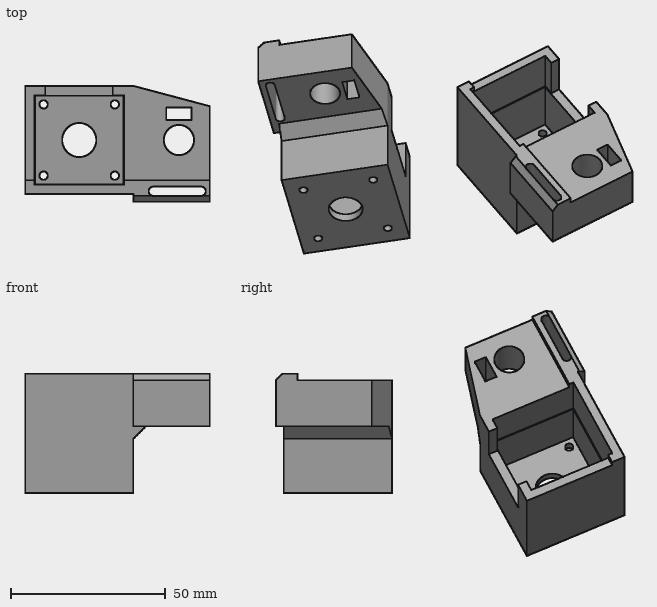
import cadquery as cq

block_side = 35.0
length = 59.7
height = 38.5
arm_height = 17.0
arm_bottom = height - arm_height
arm_end_depth = 28.4
gusset_leg = 4.0

rail_width = 4.5
rail_height = 2.0
deck_height = height - rail_height

pad_depth = 2.5
pad_chamfer = 2.0

upper_pocket_side = 28.95
lower_pocket_side = 28.5
ledge_height = arm_bottom
floor_thickness = 3.0
back_opening_width = 21.8

center_hole_diameter = 10.9
screw_hole_diameter = 2.6
screw_spacing = 23.0

arm_hole_diameter = 9.7
arm_hole_x = 49.7
window_length = 8.05
window_width = 4.0
window_y = 25.95
slot_length = 18.4
slot_width = 2.9
slot_x = 49.15
slot_y = 0.95

block_center = block_side / 2


def box(x, y, z, dx, dy, dz):
    """Box with its lowest corner at (x, y, z)."""
    return cq.Workplane("XY").box(dx, dy, dz, centered=False).translate((x, y, z))


def drill(points, diameter):
    """Vertical cylinders through the full height."""
    return cq.Workplane("XY").pushPoints(points).circle(diameter / 2).extrude(height)


def pocket(side, bottom):
    """Square pocket centered in the block and open at the top."""
    corner = block_center - side / 2
    return box(corner, corner, bottom, side, side, height - bottom)


def make_body():
    """Extrude the block, arm and gusset, tapered at the back and stepped at the top."""
    profile = [
        (0, 0),
        (block_side, 0),
        (block_side, arm_bottom - gusset_leg),
        (block_side + gusset_leg, arm_bottom),
        (length, arm_bottom),
        (length, height),
        (0, height),
    ]
    body = cq.Workplane("XZ").polyline(profile).close().extrude(-block_side)
    taper = [(block_side, block_side), (length, arm_end_depth), (length, block_side)]
    body = body.cut(cq.Workplane("XY").polyline(taper).close().extrude(height))
    return body.cut(box(0, rail_width, deck_height, length, block_side - rail_width, rail_height))


def make_pad():
    """Front pad with a chamfered top front edge."""
    pad = box(block_side, -pad_depth, arm_bottom, length - block_side, pad_depth, arm_height)
    return pad.faces("<Y").edges(">Z").chamfer(pad_chamfer)


def make_block_cuts():
    """Pocket, back opening and floor holes."""
    opening = box(
        block_center - back_opening_width / 2, block_center, ledge_height,
        back_opening_width, block_center, height - ledge_height,
    )
    low = block_center - screw_spacing / 2
    high = block_center + screw_spacing / 2
    screw_points = [(x, y) for x in (low, high) for y in (low, high)]
    cuts = pocket(upper_pocket_side, ledge_height).union(pocket(lower_pocket_side, floor_thickness))
    cuts = cuts.union(opening)
    cuts = cuts.union(drill([(block_center, block_center)], center_hole_diameter))
    return cuts.union(drill(screw_points, screw_hole_diameter))


def make_arm_cuts():
    """Round hole, rectangular window and rounded slot through the arm."""
    hole = drill([(arm_hole_x, block_center)], arm_hole_diameter)
    window = cq.Workplane("XY").center(arm_hole_x, window_y).rect(window_length, window_width).extrude(height)
    slot = cq.Workplane("XY").center(slot_x, slot_y).slot2D(slot_length, slot_width).extrude(height)
    return hole.union(window).union(slot)


result = make_body().union(make_pad()).cut(make_block_cuts()).cut(make_arm_cuts())